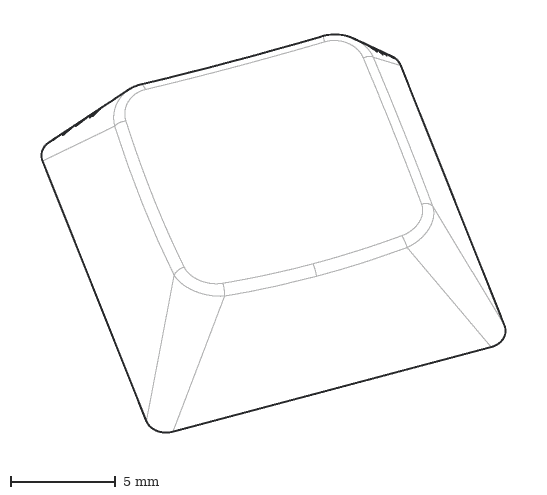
import cadquery as cq

base_width = 18.0
base_corner_radius = 1.0
top_width = 12.5
top_corner_radius = 2.0
loft_height = 7.0

dish_radius = 41.0
dish_floor_height = 6.0

rim_fillet_radius = 0.5


def rounded_square(width, corner_radius):
    return cq.Sketch().rect(width, width).vertices().fillet(corner_radius)


def make_skirt():
    """Tapered body, taller than the finished key so the dish can trim it."""
    base = rounded_square(base_width, base_corner_radius)
    top = rounded_square(top_width, top_corner_radius)
    top_location = cq.Location(cq.Vector(0, 0, loft_height))
    return cq.Workplane("XY").placeSketch(base, top.moved(top_location)).loft(ruled=True)


def cut_dish(body):
    """Scoop the whole top face with a sphere centred above the key."""
    sphere_center_height = dish_floor_height + dish_radius
    sphere = cq.Workplane("XY").sphere(dish_radius).translate((0, 0, sphere_center_height))
    return body.cut(sphere)


def round_rim(body):
    """Fillet every edge that bounds the dish."""
    return body.faces("%SPHERE").edges().fillet(rim_fillet_radius)


result = round_rim(cut_dish(make_skirt()))